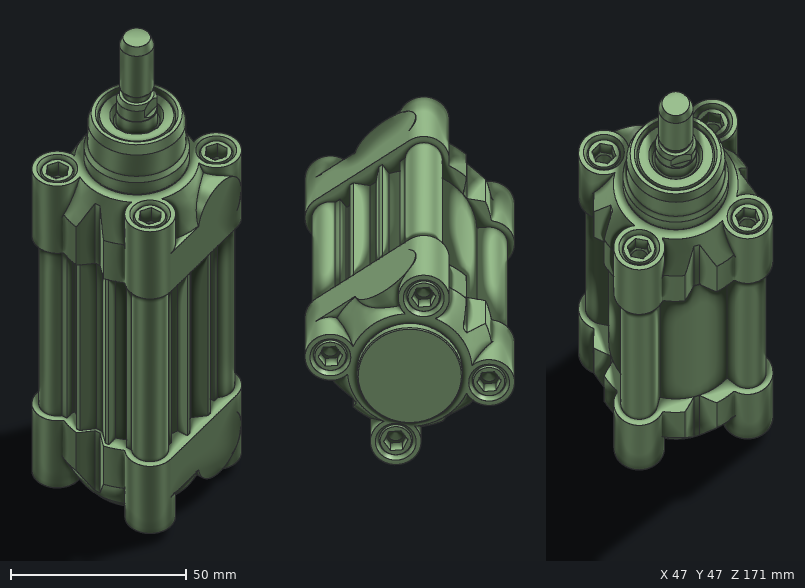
import cadquery as cq
import math

TOTAL_LENGTH = 171.0
WIDTH = 47.0
BOSS_SPACING = 32.5

REAR_COLLAR_HEIGHT = 4.0
CAP_LENGTH = 26.5
CAP_DISTANCE = 119.0
FRONT_COLLAR_HEIGHT = 18.1

CAP_FACE_RADIUS = 17.8
CAP_CONE_HEIGHT = 11.5
BOSS_FILLET = 0.7
CAP_GROOVE_ANGLES = (0, -90, 180)
CAP_GROOVE_DEPTH = 4.3
CAP_GROOVE_FLOOR_HALF = 0.9
CAP_GROOVE_MOUTH_HALF = 3.8
CAP_GROOVE_EDGE_BREAK = 1.0
PORT_RADIUS = 10.6
PORT_OFFSET = 7.9
PORT_DEPTH = 13.3

RING_OUTER_RADIUS = 5.8
RING_ROOT_RADIUS = 4.8
RING_DEPTH = 1.4
HEAD_RADIUS = 4.5
HEAD_DEPTH = 0.7
HEX_SIDES = 6
SOCKET_WIDTH = 6.0
SOCKET_DEPTH = 5.1
DRILL_RADIUS = 2.4
DRILL_POINT_HEIGHT = 1.4

COLLAR_RADIUS = 15.0
BEARING_RADIUS = 14.0
BEARING_TIP_RADIUS = 13.0
BEARING_CHAMFER_HEIGHT = 3.0
COLLAR_RELIEF_RADIUS = 14.7
COLLAR_RELIEF_HEIGHT = 0.5
COLLAR_LAND_HEIGHT = 5.1
COLLAR_SHOULDER_HEIGHT = 1.5
REAR_COLLAR_CHAMFER = 0.3
WIPER_RING_OUTER = 11.8
WIPER_RING_ROOT = 11.1
WIPER_RING_INNER = 10.6
WIPER_RING_DEPTH = 1.5
WIPER_DEPTH = 0.9
WIPER_MOUTH_RADIUS = 7.7
WIPER_LIP_RADIUS = 6.7
WIPER_LIP_DEPTH = 2.0

ROD_RADIUS = 6.0
ROD_HEAD_RADIUS = 5.8
ROD_HEAD_LENGTH = 5.6
THREAD_RADIUS = 5.0
THREAD_TIP_RADIUS = 4.0
THREAD_TIP_HEIGHT = 2.7
THREAD_LENGTH = 22.0
UNDERCUT_LENGTH = 3.0
UNDERCUT_CHAMFER = 1.0
ROD_CHAMFER_HEIGHT = 1.5
FLAT_HALF_WIDTH = 5.0
FLAT_LENGTH = 4.5
FLAT_RUNOUT = 1.0

TUBE_RADIUS = 19.2
LOBE_RADIUS = 5.3
WEB_HALF_WIDTH = 10.1
RIDGE_REACH = 21.7
RIDGE_HALF_WIDTH = 5.6
SLOT_MOUTH_HALF = 4.5
SLOT_FLOOR_HALF = 1.0
SLOT_DEPTH = 3.5
LEDGE_REACH = 19.7
SLOTTED_SIDE_ANGLES = (0, 90)
LEDGE_START = 10.5
LEDGE_END = 12.3

Z_AXIS = ((0, 0, 0), (0, 0, 1))
CAP_RADIUS = WIDTH / 2
BOSS_RADIUS = (WIDTH - BOSS_SPACING) / 2
BOSS_OFFSET = BOSS_SPACING / 2
BOSS_POINTS = [(sx * BOSS_OFFSET, sy * BOSS_OFFSET) for sx in (-1, 1) for sy in (-1, 1)]
REAR_FACE_Z = REAR_COLLAR_HEIGHT
FRONT_FACE_Z = REAR_FACE_Z + CAP_DISTANCE
BARREL_BOTTOM_Z = REAR_FACE_Z + CAP_LENGTH
BARREL_TOP_Z = FRONT_FACE_Z - CAP_LENGTH
BARREL_LENGTH = BARREL_TOP_Z - BARREL_BOTTOM_Z


def revolve_profile(points):
    """Solid of revolution about Z from (radius, z) points."""
    return cq.Workplane("XZ").polyline(points).close().revolve(360, (0, 0), (0, 1))


def cap_groove():
    """Cutter for the V groove on the -Y side, running the full cap length."""
    floor_y = CAP_RADIUS - CAP_GROOVE_DEPTH
    mouth_y = floor_y + CAP_GROOVE_MOUTH_HALF - CAP_GROOVE_FLOOR_HALF
    edge_x = CAP_GROOVE_MOUTH_HALF + CAP_GROOVE_EDGE_BREAK
    half = [
        (CAP_GROOVE_FLOOR_HALF, -floor_y),
        (CAP_GROOVE_MOUTH_HALF, -mouth_y),
        (edge_x, -math.sqrt(CAP_RADIUS**2 - edge_x**2)),
        (edge_x, -WIDTH),
    ]
    outline = half + [(-x, y) for x, y in reversed(half)]
    return cq.Workplane("XY").polyline(outline).close().extrude(CAP_LENGTH)


def screw_recess():
    """Cutter for the V ring and hex socket entering a boss from z = CAP_LENGTH."""
    head_z = CAP_LENGTH - HEAD_DEPTH
    ring = revolve_profile([
        (0, CAP_LENGTH),
        (RING_OUTER_RADIUS, CAP_LENGTH),
        (RING_ROOT_RADIUS, CAP_LENGTH - RING_DEPTH),
        (HEAD_RADIUS, head_z),
        (0, head_z),
    ])
    floor_z = head_z - SOCKET_DEPTH
    across_corners = SOCKET_WIDTH / math.cos(math.pi / HEX_SIDES)
    socket = (
        cq.Workplane("XY").workplane(offset=floor_z)
        .polygon(HEX_SIDES, across_corners).extrude(SOCKET_DEPTH)
    )
    drill_tip_z = floor_z - DRILL_POINT_HEIGHT
    drill_point = revolve_profile([(0, floor_z), (DRILL_RADIUS, floor_z), (0, drill_tip_z)])
    return ring.union(socket).union(drill_point)


def end_cap():
    """Cap body with its inner face at z = 0 and its outer face at z = CAP_LENGTH."""
    cone_z = CAP_LENGTH - CAP_CONE_HEIGHT
    cone_slope = CAP_CONE_HEIGHT / (CAP_RADIUS - CAP_FACE_RADIUS)
    skirt_radius = CAP_RADIUS + 2 * BOSS_FILLET
    bosses = cq.Workplane("XY").pushPoints(BOSS_POINTS).circle(BOSS_RADIUS).extrude(CAP_LENGTH)
    cone = revolve_profile([
        (0, 0),
        (skirt_radius, 0),
        (skirt_radius, CAP_LENGTH - cone_slope * (skirt_radius - CAP_FACE_RADIUS)),
        (CAP_FACE_RADIUS, CAP_LENGTH),
        (0, CAP_LENGTH),
    ])
    disc = cq.Workplane("XY").circle(CAP_RADIUS).extrude(CAP_LENGTH)
    cap = disc.union(bosses).edges("|Z").fillet(BOSS_FILLET).intersect(cone)
    for angle in CAP_GROOVE_ANGLES:
        cap = cap.cut(cap_groove().rotate(*Z_AXIS, angle))

    port_pad = cq.Workplane("XY").box(CAP_RADIUS, BOSS_SPACING, cone_z, centered=(False, True, False))
    port_boss = (
        cq.Workplane("YZ").center(PORT_OFFSET, CAP_LENGTH - PORT_DEPTH)
        .circle(PORT_RADIUS).extrude(CAP_RADIUS)
    )
    cap = cap.union(port_pad).union(port_boss).union(bosses)
    for x, y in BOSS_POINTS:
        cap = cap.cut(screw_recess().translate((x, y, 0)))
    return cap


def front_cap():
    """Cap with the stepped bearing collar, bored for the piston rod."""
    top_z = CAP_LENGTH + FRONT_COLLAR_HEIGHT
    land_z = CAP_LENGTH + COLLAR_LAND_HEIGHT
    collar = revolve_profile([
        (0, 0),
        (COLLAR_RELIEF_RADIUS, 0),
        (COLLAR_RELIEF_RADIUS, CAP_LENGTH + COLLAR_RELIEF_HEIGHT),
        (COLLAR_RADIUS, CAP_LENGTH + COLLAR_RELIEF_HEIGHT),
        (COLLAR_RADIUS, land_z),
        (BEARING_RADIUS, land_z + COLLAR_SHOULDER_HEIGHT),
        (BEARING_RADIUS, top_z - BEARING_CHAMFER_HEIGHT),
        (BEARING_TIP_RADIUS, top_z),
        (0, top_z),
    ])
    wiper_z = top_z - WIPER_DEPTH
    lip_z = wiper_z - WIPER_LIP_DEPTH
    bore = revolve_profile([
        (0, 0),
        (ROD_RADIUS, 0),
        (ROD_RADIUS, lip_z),
        (WIPER_LIP_RADIUS, lip_z),
        (WIPER_MOUTH_RADIUS, wiper_z),
        (WIPER_RING_INNER, wiper_z),
        (WIPER_RING_ROOT, top_z - WIPER_RING_DEPTH),
        (WIPER_RING_OUTER, top_z),
        (0, top_z),
    ])
    return end_cap().union(collar).cut(bore).translate((0, 0, BARREL_TOP_Z))


def rear_cap():
    """Mirrored cap with a short centring collar below it."""
    relief_z = REAR_FACE_Z - COLLAR_RELIEF_HEIGHT
    collar = revolve_profile([
        (0, 0),
        (COLLAR_RADIUS - REAR_COLLAR_CHAMFER, 0),
        (COLLAR_RADIUS, REAR_COLLAR_CHAMFER),
        (COLLAR_RADIUS, relief_z),
        (COLLAR_RELIEF_RADIUS, relief_z),
        (COLLAR_RELIEF_RADIUS, REAR_FACE_Z),
        (0, REAR_FACE_Z),
    ])
    cap = end_cap().mirror("XY").translate((0, 0, BARREL_BOTTOM_Z))
    return cap.union(collar)


def prism(points):
    """Barrel-length prism on a closed outline of (x, y) points."""
    return cq.Workplane("XY").polyline(points).close().extrude(BARREL_LENGTH)


def box_points(left, right, reach):
    """Rectangle from the X axis out to y = -reach."""
    return [(left, 0), (left, -reach), (right, -reach), (right, 0)]


def lobe_web(side_x, side_y):
    """Web from the tube to a corner lobe; its flanks run tangent to the lobe."""
    root = math.sqrt(TUBE_RADIUS**2 - WEB_HALF_WIDTH**2)
    to_root = math.atan2(WEB_HALF_WIDTH - BOSS_OFFSET, root - BOSS_OFFSET)
    root_distance = math.hypot(WEB_HALF_WIDTH - BOSS_OFFSET, root - BOSS_OFFSET)
    tangent_angle = to_root + math.acos(LOBE_RADIUS / root_distance)
    far = BOSS_OFFSET + LOBE_RADIUS * math.cos(tangent_angle)
    near = BOSS_OFFSET + LOBE_RADIUS * math.sin(tangent_angle)
    points = [
        (0, 0),
        (root, WEB_HALF_WIDTH),
        (far, near),
        (BOSS_OFFSET, BOSS_OFFSET),
        (near, far),
        (WEB_HALF_WIDTH, root),
    ]
    return prism([(side_x * x, side_y * y) for x, y in points])


def slotted_side(angle):
    """Ridge and two ledges of the -Y side, turned about Z by the angle."""
    ridge = prism(box_points(-RIDGE_HALF_WIDTH, RIDGE_HALF_WIDTH, RIDGE_REACH))
    left_ledge = prism(box_points(-LEDGE_END, -LEDGE_START, LEDGE_REACH))
    right_ledge = prism(box_points(LEDGE_START, LEDGE_END, LEDGE_REACH))
    return [part.rotate(*Z_AXIS, angle) for part in (ridge, left_ledge, right_ledge)]


def ridge_slot(angle):
    """Cutter for the V slot along the ridge turned about Z by the angle."""
    floor_y = RIDGE_REACH - SLOT_DEPTH
    slot = prism([
        (-SLOT_FLOOR_HALF, -floor_y),
        (-SLOT_MOUTH_HALF, -RIDGE_REACH),
        (SLOT_MOUTH_HALF, -RIDGE_REACH),
        (SLOT_FLOOR_HALF, -floor_y),
    ])
    return slot.rotate(*Z_AXIS, angle)


def barrel():
    """Round tube with corner lobes and slotted ridges on the -Y and +X sides."""
    body = cq.Workplane("XY").circle(TUBE_RADIUS).extrude(BARREL_LENGTH)
    lobes = cq.Workplane("XY").pushPoints(BOSS_POINTS).circle(LOBE_RADIUS).extrude(BARREL_LENGTH)
    body = body.union(lobes)
    for side_x in (-1, 1):
        for side_y in (-1, 1):
            body = body.union(lobe_web(side_x, side_y))
    for angle in SLOTTED_SIDE_ANGLES:
        for part in slotted_side(angle):
            body = body.union(part)
        body = body.cut(ridge_slot(angle))
    return body.translate((0, 0, BARREL_BOTTOM_Z))


def piston_rod():
    """Rod resting on the barrel's front end, with wrench flats and a plain thread stub."""
    shoulder_z = TOTAL_LENGTH - THREAD_LENGTH
    neck_z = shoulder_z + UNDERCUT_LENGTH - UNDERCUT_CHAMFER
    rod = revolve_profile([
        (0, BARREL_TOP_Z),
        (ROD_RADIUS, BARREL_TOP_Z),
        (ROD_RADIUS, shoulder_z - ROD_HEAD_LENGTH),
        (ROD_HEAD_RADIUS, shoulder_z - ROD_HEAD_LENGTH),
        (ROD_HEAD_RADIUS, shoulder_z - ROD_CHAMFER_HEIGHT),
        (THREAD_RADIUS, shoulder_z),
        (THREAD_TIP_RADIUS, shoulder_z),
        (THREAD_TIP_RADIUS, neck_z),
        (THREAD_RADIUS, neck_z + UNDERCUT_CHAMFER),
        (THREAD_RADIUS, TOTAL_LENGTH - THREAD_TIP_HEIGHT),
        (THREAD_TIP_RADIUS, TOTAL_LENGTH),
        (0, TOTAL_LENGTH),
    ])
    flat_z = shoulder_z - FLAT_LENGTH
    outer_x = FLAT_HALF_WIDTH + FLAT_RUNOUT
    for side in (-1, 1):
        flat = (
            cq.Workplane("XZ")
            .polyline([
                (side * FLAT_HALF_WIDTH, shoulder_z),
                (side * FLAT_HALF_WIDTH, flat_z),
                (side * outer_x, flat_z - FLAT_RUNOUT),
                (side * outer_x, shoulder_z),
            ])
            .close().extrude(ROD_RADIUS, both=True)
        )
        rod = rod.cut(flat)
    return rod


result = cq.Compound.makeCompound([
    front_cap().val(),
    rear_cap().val(),
    barrel().val(),
    piston_rod().val(),
])